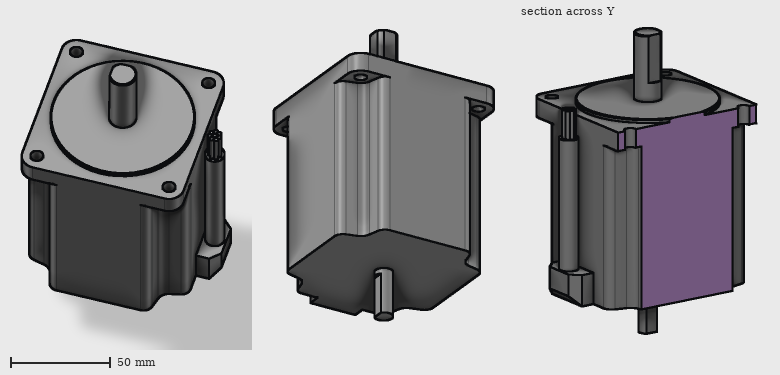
import cadquery as cq
import math


SIDE = 85.0
HALF_SIDE = SIDE / 2
FLANGE_TOP = 96.0
FLANGE_THICKNESS = 10.0
FLANGE_BOTTOM = FLANGE_TOP - FLANGE_THICKNESS
HOLE_SPACING = 69.6
HOLE_DIAMETER = 6.5
FLANGE_CORNER_RADIUS = (SIDE - HOLE_SPACING) / 2

RELIEF_START = 20.35
RELIEF_EDGE_RADIUS = 5.0
RELIEF_HOLLOW_RADIUS = 6.0
RELIEF_TILT = math.radians(14.0)

PILOT_DIAMETER = 73.0
PILOT_HEIGHT = 2.0
PILOT_TOP = FLANGE_TOP + PILOT_HEIGHT
PILOT_CHAMFER = 0.5

FRONT_SHAFT_DIAMETER = 14.0
FRONT_SHAFT_LENGTH = 35.0
FRONT_SHAFT_TOP = PILOT_TOP + FRONT_SHAFT_LENGTH
FRONT_SHAFT_CHAMFER = 0.5
FRONT_FLAT_LENGTH = 25.0
FRONT_FLAT_OFFSET = 6.0
REAR_SHAFT_DIAMETER = 9.525
REAR_SHAFT_LENGTH = 25.0
REAR_FLAT_LENGTH = 22.0
REAR_FLAT_OFFSET = 3.5

BLOCK_DEPTH = 12.0
BLOCK_WIDTH = 26.5
BLOCK_HEIGHT = 16.5
BLOCK_CHAMFER = 5.0

CABLE_X = HALF_SIDE + BLOCK_DEPTH / 2
SLEEVE_DIAMETER = 10.0
SLEEVE_TOP = 85.5
WIRE_TOP = 100.5
WIRE_DIAMETER = 2.2
WIRE_RING_RADIUS = 2.55
RING_WIRE_COUNT = 7
WIRE_RING_START = math.radians(-7.0)


def cylinder(diameter, bottom, top, x=0.0, y=0.0):
    """Upright cylinder between two heights."""
    return (
        cq.Workplane("XY", origin=(x, y, bottom))
        .circle(diameter / 2)
        .extrude(top - bottom)
    )


def make_flange():
    """Square mounting flange with rounded corners."""
    return (
        cq.Workplane("XY", origin=(0, 0, FLANGE_BOTTOM))
        .rect(SIDE, SIDE)
        .extrude(FLANGE_THICKNESS)
        .edges("|Z")
        .fillet(FLANGE_CORNER_RADIUS)
    )


def cut_mounting_holes(part):
    """Drill four through holes in the flange, opening above the relieved body corners."""
    drills = (
        cq.Workplane("XY", origin=(0, 0, FLANGE_BOTTOM))
        .rect(HOLE_SPACING, HOLE_SPACING, forConstruction=True)
        .vertices()
        .circle(HOLE_DIAMETER / 2)
        .extrude(FLANGE_THICKNESS)
    )
    return part.cut(drills)


def corner_relief_points():
    """Tangent and middle points of one corner relief, measured inward from the corner.

    The relief is symmetric about the corner diagonal. The hollow is centred on
    that diagonal, placed so that each slanted flat is tangent to both its arcs.
    """
    tilt_sin = math.sin(RELIEF_TILT)
    tilt_cos = math.cos(RELIEF_TILT)
    edge_x = RELIEF_EDGE_RADIUS
    edge_y = RELIEF_START
    flat_distance = edge_x * tilt_sin + edge_y * tilt_cos - RELIEF_EDGE_RADIUS
    hollow = (flat_distance - RELIEF_HOLLOW_RADIUS) / (tilt_sin + tilt_cos)

    edge_middle_angle = (math.pi / 2 - RELIEF_TILT) / 2
    face_end = (0.0, RELIEF_START)
    edge_middle = (
        edge_x - RELIEF_EDGE_RADIUS * math.cos(edge_middle_angle),
        edge_y - RELIEF_EDGE_RADIUS * math.sin(edge_middle_angle),
    )
    flat_outer = (edge_x - RELIEF_EDGE_RADIUS * tilt_sin, edge_y - RELIEF_EDGE_RADIUS * tilt_cos)
    flat_inner = (hollow + RELIEF_HOLLOW_RADIUS * tilt_sin, hollow + RELIEF_HOLLOW_RADIUS * tilt_cos)
    hollow_middle = hollow + RELIEF_HOLLOW_RADIUS * math.cos(math.pi / 4)
    return face_end, edge_middle, flat_outer, flat_inner, (hollow_middle, hollow_middle)


def make_corner_relief():
    """Cutter for the corner at (-X, -Y), full height of the body."""
    face_end, edge_middle, flat_outer, flat_inner, hollow_middle = corner_relief_points()

    def mirrored(point):
        return point[1], point[0]

    return (
        cq.Workplane("XY", origin=(-HALF_SIDE, -HALF_SIDE, 0))
        .moveTo(0, 0)
        .lineTo(*face_end)
        .threePointArc(edge_middle, flat_outer)
        .lineTo(*flat_inner)
        .threePointArc(hollow_middle, mirrored(flat_inner))
        .lineTo(*mirrored(flat_outer))
        .threePointArc(mirrored(edge_middle), mirrored(face_end))
        .close()
        .extrude(FLANGE_BOTTOM)
    )


def make_body():
    """Motor body with all four corners relieved."""
    body = cq.Workplane("XY").rect(SIDE, SIDE).extrude(FLANGE_BOTTOM)
    relief = make_corner_relief()
    for turn in range(4):
        body = body.cut(relief.rotate((0, 0, 0), (0, 0, 1), 90 * turn))
    return body


def make_pilot():
    """Chamfered centring boss on the flange."""
    return cylinder(PILOT_DIAMETER, FLANGE_TOP, PILOT_TOP).faces(">Z").chamfer(PILOT_CHAMFER)


def flat_cutter(diameter, offset, bottom, length):
    """Block that cuts a flat facing +Y at the given distance from the shaft axis."""
    return (
        cq.Workplane("XY", origin=(0, offset, bottom))
        .rect(diameter, diameter)
        .extrude(length)
        .translate((0, diameter / 2, 0))
    )


def make_front_shaft():
    """Front shaft with two flats at right angles, facing +Y and -X."""
    shaft = cylinder(FRONT_SHAFT_DIAMETER, PILOT_TOP, FRONT_SHAFT_TOP)
    shaft = shaft.faces(">Z").chamfer(FRONT_SHAFT_CHAMFER)
    flat_bottom = FRONT_SHAFT_TOP - FRONT_FLAT_LENGTH
    cutter = flat_cutter(FRONT_SHAFT_DIAMETER, FRONT_FLAT_OFFSET, flat_bottom, FRONT_FLAT_LENGTH)
    return shaft.cut(cutter).cut(cutter.rotate((0, 0, 0), (0, 0, 1), 90))


def make_rear_shaft():
    """Rear shaft with one flat facing +Y."""
    shaft = cylinder(REAR_SHAFT_DIAMETER, -REAR_SHAFT_LENGTH, 0)
    cutter = flat_cutter(REAR_SHAFT_DIAMETER, REAR_FLAT_OFFSET, -REAR_SHAFT_LENGTH, REAR_FLAT_LENGTH)
    return shaft.cut(cutter)


def make_cable_block():
    """Cable outlet block on the +X face, outer end chamfered at both sides and below."""
    return (
        cq.Workplane("XY", origin=(CABLE_X, 0, 0))
        .rect(BLOCK_DEPTH, BLOCK_WIDTH)
        .extrude(BLOCK_HEIGHT)
        .edges(">X and |Z")
        .chamfer(BLOCK_CHAMFER)
        .faces(">X")
        .edges("<Z")
        .chamfer(BLOCK_CHAMFER)
    )


def make_cable():
    """Cable sleeve with one central wire and a ring of wires standing out of its end."""
    cable = cylinder(SLEEVE_DIAMETER, BLOCK_HEIGHT, SLEEVE_TOP, CABLE_X)
    cable = cable.union(cylinder(WIRE_DIAMETER, SLEEVE_TOP, WIRE_TOP, CABLE_X))
    for index in range(RING_WIRE_COUNT):
        angle = WIRE_RING_START + index * 2 * math.pi / RING_WIRE_COUNT
        wire_x = CABLE_X + WIRE_RING_RADIUS * math.cos(angle)
        wire_y = WIRE_RING_RADIUS * math.sin(angle)
        cable = cable.union(cylinder(WIRE_DIAMETER, SLEEVE_TOP, WIRE_TOP, wire_x, wire_y))
    return cable


motor = make_body().union(make_flange())
motor = cut_mounting_holes(motor)
motor = motor.union(make_pilot()).union(make_front_shaft()).union(make_rear_shaft())
result = motor.union(make_cable_block()).union(make_cable())